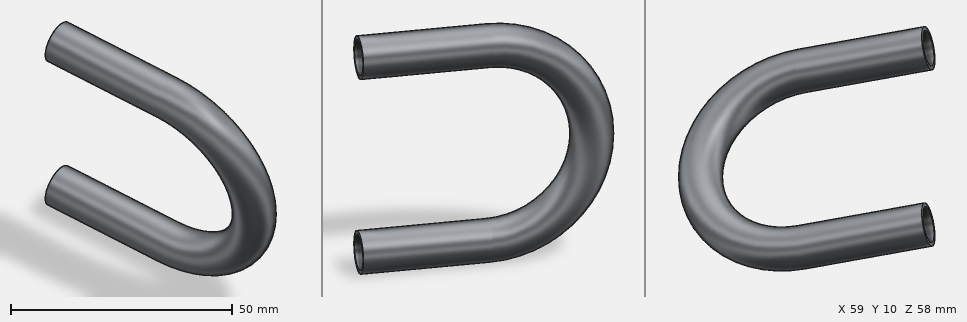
import cadquery as cq

total_length = 59.0
total_height = 58.0

outer_diameter = 10.0
wall = 0.9
inner_diameter = outer_diameter - 2 * wall

bend_radius = (total_height - outer_diameter) / 2
leg_length = total_length - bend_radius - outer_diameter / 2

centreline = (
    cq.Workplane("XZ")
    .moveTo(-leg_length, bend_radius)
    .lineTo(0, bend_radius)
    .threePointArc((bend_radius, 0), (0, -bend_radius))
    .lineTo(-leg_length, -bend_radius)
)

result = (
    cq.Workplane("YZ", origin=(-leg_length, 0, bend_radius))
    .circle(outer_diameter / 2)
    .circle(inner_diameter / 2)
    .sweep(centreline)
)